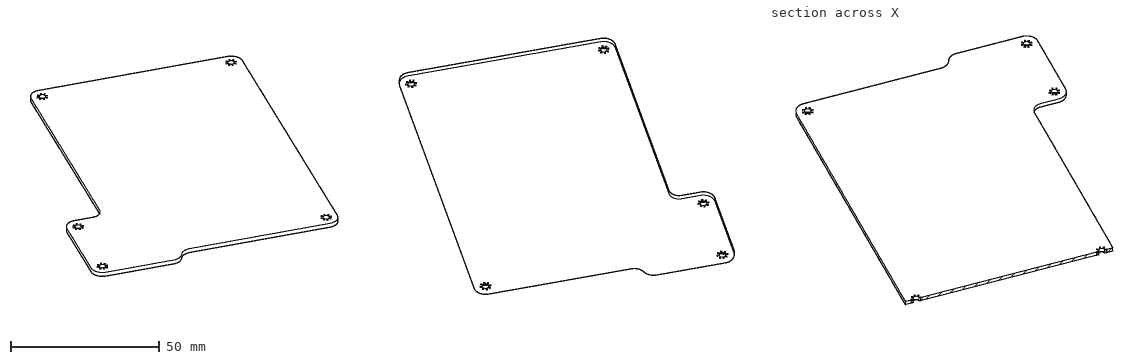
import cadquery as cq
import math

LENGTH = 114.5
WIDTH = 89.1
THICKNESS = 1.6

MAIN_LENGTH = 109.5
MAIN_WIDTH = 75.0
TAB_LENGTH = 33.9
CORNER_RADIUS = 4.0
INNER_CORNER_RADIUS = 3.4
SHOULDER_START = 27.9

HOLE_DIAMETER = 2.2
VIA_DIAMETER = 0.4
VIA_COUNT = 8
VIA_CIRCLE_DIAMETER = 3.3
HOLE_INSET = 4.0

main_bottom = WIDTH - MAIN_WIDTH
tab_left = LENGTH - TAB_LENGTH

shoulder_step = LENGTH - MAIN_LENGTH
shoulder_angle = math.acos(1 - shoulder_step / (2 * CORNER_RADIUS))
shoulder_rise = 2 * CORNER_RADIUS * math.sin(shoulder_angle)
shoulder_middle = (LENGTH - shoulder_step / 2, SHOULDER_START + shoulder_rise / 2)
shoulder_end = (MAIN_LENGTH, SHOULDER_START + shoulder_rise)


def round_corner(plate, corner, radius):
    """Fillet the vertical edge at one outline corner."""
    corner_edge = cq.selectors.NearestToPointSelector((*corner, THICKNESS / 2))
    return plate.edges("|Z").edges(corner_edge).fillet(radius)


def make_plate():
    """Plate with rounded corners, a tab and an S-shaped shoulder."""
    outline = (
        cq.Workplane("XY")
        .moveTo(0, WIDTH)
        .lineTo(0, main_bottom)
        .lineTo(tab_left, main_bottom)
        .lineTo(tab_left, 0)
        .lineTo(LENGTH, 0)
        .lineTo(LENGTH, SHOULDER_START)
        .tangentArcPoint(shoulder_middle, relative=False)
        .tangentArcPoint(shoulder_end, relative=False)
        .lineTo(MAIN_LENGTH, WIDTH)
        .close()
    )
    plate = outline.extrude(THICKNESS)
    corners = [
        (0, WIDTH),
        (0, main_bottom),
        (tab_left, 0),
        (LENGTH, 0),
        (MAIN_LENGTH, WIDTH),
    ]
    for corner in corners:
        plate = round_corner(plate, corner, CORNER_RADIUS)
    return round_corner(plate, (tab_left, main_bottom), INNER_CORNER_RADIUS)


def cut_mounting_hole(plate, center):
    """Cut a through hole and its ring of vias."""
    top = plate.faces(">Z").workplane(origin=(*center, THICKNESS))
    plate = top.circle(HOLE_DIAMETER / 2).cutThruAll()
    vias = plate.faces(">Z").workplane(origin=(*center, THICKNESS))
    vias = vias.polarArray(VIA_CIRCLE_DIAMETER / 2, 0, 360, VIA_COUNT)
    return vias.circle(VIA_DIAMETER / 2).cutThruAll()


hole_centers = [
    (HOLE_INSET, WIDTH - HOLE_INSET),
    (MAIN_LENGTH - HOLE_INSET, WIDTH - HOLE_INSET),
    (HOLE_INSET, main_bottom + HOLE_INSET),
    (tab_left + HOLE_INSET, HOLE_INSET),
    (LENGTH - HOLE_INSET, HOLE_INSET),
]

result = make_plate()
for hole_center in hole_centers:
    result = cut_mounting_hole(result, hole_center)